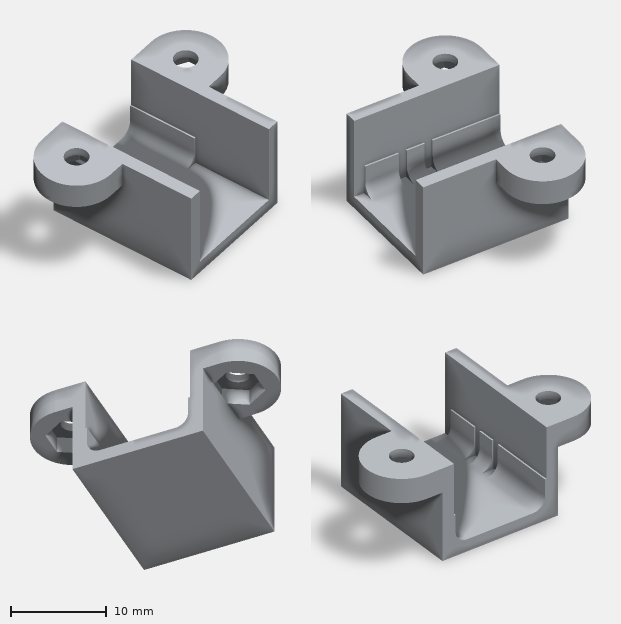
import cadquery as cq
import math

body_length = 18.0
body_width = 15.0
body_height = 11.5
wall = 1.5
inner_half_width = body_width / 2 - wall

ear_width = 9.0
ear_thickness = 3.0
ear_radius = ear_width / 2
ear_center_x = ear_radius
ear_center_y = 9.5

hole_diameter = 2.7
nut_across_flats = 5.0
nut_across_corners = nut_across_flats / math.cos(math.radians(30))
nut_pocket_depth = 2.0

pad_thickness = 0.2
pad_top = 5.1
pad_fillet = 1.5
long_pad = (0.0, 8.4)
short_pad = (9.4, 11.6)
end_pad = (12.6, 16.75)
pads = [(1, long_pad), (-1, long_pad), (-1, short_pad), (-1, end_pad)]


def make_channel():
    """U-shaped channel, centred on Y with its underside at Z = 0."""
    block = cq.Workplane("XY").box(body_length, body_width, body_height, centered=(False, True, False))
    cavity = (
        cq.Workplane("XY", origin=(0, 0, wall))
        .box(body_length, 2 * inner_half_width, body_height - wall, centered=(False, True, False))
    )
    return block.cut(cavity)


def make_ear(side):
    """Round-ended ear; side is +1 or -1 along Y."""
    center_y = side * ear_center_y
    root_y = side * inner_half_width
    return (
        cq.Workplane("XY", origin=(0, 0, body_height - ear_thickness))
        .moveTo(0, root_y)
        .lineTo(0, center_y)
        .threePointArc((ear_center_x, center_y + side * ear_radius), (ear_width, center_y))
        .lineTo(ear_width, root_y)
        .close()
        .extrude(ear_thickness)
    )


def make_screw_cutter(side):
    """Through hole and nut pocket of one ear; two pocket flats lie parallel to X."""
    underside = cq.Workplane("XY", origin=(ear_center_x, side * ear_center_y, body_height - ear_thickness))
    hole = underside.circle(hole_diameter / 2).extrude(ear_thickness)
    nut_pocket = underside.polygon(6, nut_across_corners).extrude(nut_pocket_depth)
    return hole.union(nut_pocket)


def make_pad(side, x_range):
    """Corner pad spanning x_range on the wall of one side (+1 or -1 along Y)."""
    x_start, x_end = x_range
    wall_y = side * inner_half_width
    face_y = side * (inner_half_width - pad_thickness)
    toe_y = face_y - side * pad_fillet
    return (
        cq.Workplane("YZ", origin=(x_start, 0, 0))
        .moveTo(wall_y, wall)
        .lineTo(wall_y, pad_top)
        .lineTo(face_y, pad_top)
        .lineTo(face_y, wall + pad_fillet)
        .radiusArc((toe_y, wall), side * pad_fillet)
        .close()
        .extrude(x_end - x_start)
    )


result = make_channel()
for ear_side in (1, -1):
    result = result.union(make_ear(ear_side)).cut(make_screw_cutter(ear_side))
for pad_side, pad_range in pads:
    result = result.union(make_pad(pad_side, pad_range))